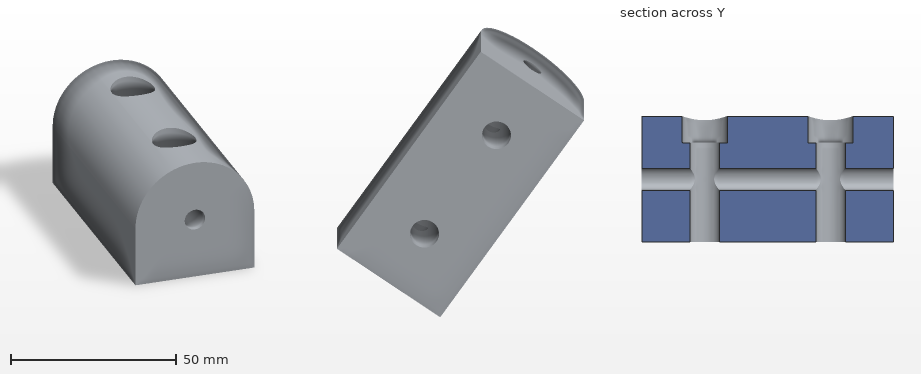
import cadquery as cq

length = 76.2
width = 38.1
crown_radius = width / 2
side_height = 19.05
height = side_height + crown_radius

bore_diameter = 6.55
bolt_diameter = 8.8
counterbore_diameter = 13.5
counterbore_depth = 8.0
bolt_positions = [(-length / 4, 0), (length / 4, 0)]

body = (
    cq.Workplane("YZ")
    .moveTo(-width / 2, 0)
    .lineTo(width / 2, 0)
    .lineTo(width / 2, side_height)
    .threePointArc((0, height), (-width / 2, side_height))
    .close()
    .extrude(length / 2, both=True)
)

bore = (
    cq.Workplane("YZ")
    .center(0, side_height)
    .circle(bore_diameter / 2)
    .extrude(length / 2, both=True)
)

bolt_holes = (
    cq.Workplane("XY")
    .workplane(offset=height)
    .pushPoints(bolt_positions)
    .circle(bolt_diameter / 2)
    .extrude(-height)
)
counterbores = (
    cq.Workplane("XY")
    .workplane(offset=height)
    .pushPoints(bolt_positions)
    .circle(counterbore_diameter / 2)
    .extrude(-counterbore_depth)
)

result = body.cut(bore).cut(bolt_holes).cut(counterbores)